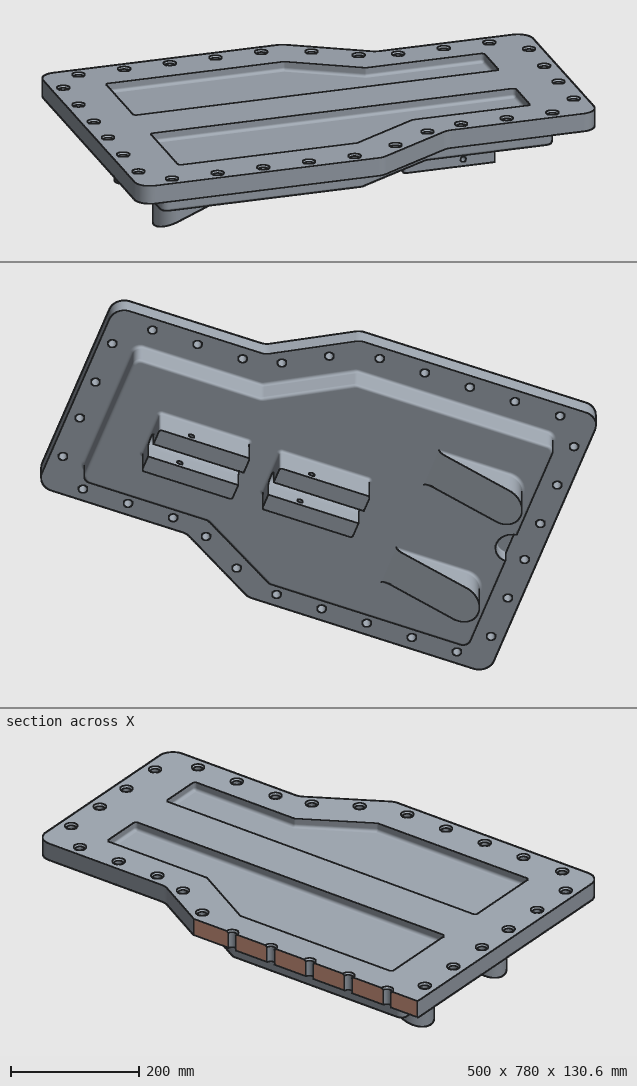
import cadquery as cq
import math

LENGTH = 780.0
WIDE_HALF = 250.0
NARROW_HALF = 175.0
WIDE_SIDE_LENGTH = 400.0
FLANK_ANGLE = 60.0
PLATE_THICKNESS = 30.0
PLATE_RADIUS = 25.0

BODY_INSET = 55.0
BODY_HEIGHT = 40.0
BODY_RADIUS = 12.5
BLEND_RADIUS = 5.0

HOLE_INSET = 20.0
HOLE_PITCH = 75.0
HOLE_DIAMETER = 14.0
COUNTERSINK_DIAMETER = 20.0
COUNTERSINK_TAPER = 45.0
END_ROW_FIRST_X = 35.0
NARROW_END_HOLES = 2
WIDE_END_HOLES = 3
NARROW_SIDE_FIRST_Y = 320.0
NARROW_SIDE_HOLES = 3
WIDE_SIDE_FIRST_Y = -330.0
WIDE_SIDE_HOLES = 5
FLANK_FIRST_FROM_CORNER = 23.0
FLANK_HOLES = 2

POCKET_INNER_X = 40.0
POCKET_NARROW_X = 115.0
POCKET_WIDE_X = 180.0
POCKET_MIN_Y = -302.5
POCKET_MAX_Y = 297.5
POCKET_KINK_Y = -9.0
POCKET_DEPTH = 15.0
POCKET_RADIUS = 5.0

BLOCK_WIDTH = 80.0
BLOCK_LENGTH = 150.0
BLOCK_HEIGHT = 50.0
BLOCK_CENTRES_Y = (-10.0, 190.0)
BLOCK_EDGE_RADIUS = 4.0
SLOT_WIDTH = 24.0
SLOT_AXIS_ABOVE_TIP = 26.0
CROSS_HOLE_DIAMETER = 9.0
CROSS_HOLE_OFFSET_Y = 22.0
CROSS_HOLE_ABOVE_TIP = 11.5

TOTAL_HEIGHT = 130.6
FOOT_X = 95.0
FOOT_RADIUS = 30.0
FOOT_TIP_Y = -315.0
FOOT_HEEL_Y = -166.0

NOTCH_RADIUS = 25.0
NOTCH_HEIGHT = 25.0
NOTCH_CEILING_RADIUS = 2.0

PLATE_BOTTOM = -PLATE_THICKNESS
BODY_BOTTOM = PLATE_BOTTOM - BODY_HEIGHT
BLOCK_BOTTOM = BODY_BOTTOM - BLOCK_HEIGHT
FLANK_SLOPE = math.tan(math.radians(FLANK_ANGLE))
WIDE_CORNER_Y = -LENGTH / 2 + WIDE_SIDE_LENGTH
NARROW_CORNER_Y = WIDE_CORNER_Y + (WIDE_HALF - NARROW_HALF) * FLANK_SLOPE
CORNER_SHIFT = math.tan(math.radians((90.0 - FLANK_ANGLE) / 2))


def outline_prism(inset, top, height, corner_radius):
    """Prism of the plate outline offset inward, with rounded corners."""
    half_length = LENGTH / 2 - inset
    wide = WIDE_HALF - inset
    narrow = NARROW_HALF - inset
    shift = inset * CORNER_SHIFT
    right_side = [
        (wide, -half_length),
        (wide, WIDE_CORNER_Y - shift),
        (narrow, NARROW_CORNER_Y - shift),
        (narrow, half_length),
    ]
    left_side = [(-x, y) for x, y in reversed(right_side)]
    prism = cq.Workplane("XY").workplane(offset=top - height).polyline(right_side + left_side)
    return prism.close().extrude(height).edges("|Z").fillet(corner_radius)


def wedge_foot(x):
    """Round-ended foot whose underside rises from its tip at -Y to the body."""
    depth = TOTAL_HEIGHT + BODY_BOTTOM
    centre_y = FOOT_TIP_Y + FOOT_RADIUS
    run = FOOT_HEEL_Y - centre_y
    footing = cq.Workplane("XY").workplane(offset=-TOTAL_HEIGHT)
    column = footing.center(x, centre_y).circle(FOOT_RADIUS).extrude(depth)
    bar = footing.center(x, centre_y + run / 2).rect(2 * FOOT_RADIUS, run).extrude(depth)
    side = [(FOOT_TIP_Y, BODY_BOTTOM), (FOOT_TIP_Y, -TOTAL_HEIGHT), (FOOT_HEEL_Y, BODY_BOTTOM)]
    wedge = cq.Workplane("YZ").workplane(offset=x).polyline(side).close()
    return column.union(bar).intersect(wedge.extrude(FOOT_RADIUS, both=True))


def block(y):
    """Rectangular block with rounded upright edges."""
    blank = cq.Workplane("XY").workplane(offset=BLOCK_BOTTOM).center(0, y)
    return blank.rect(BLOCK_WIDTH, BLOCK_LENGTH).extrude(BLOCK_HEIGHT).edges("|Z").fillet(BLOCK_EDGE_RADIUS)


def block_cuts(y):
    """Round-topped slot along Y and a cross hole along X through one block."""
    slot_axis_z = BLOCK_BOTTOM + SLOT_AXIS_ABOVE_TIP
    half_slot = SLOT_WIDTH / 2
    profile = cq.Workplane("XZ").workplane(offset=-y).moveTo(-half_slot, BLOCK_BOTTOM)
    profile = profile.lineTo(-half_slot, slot_axis_z)
    profile = profile.threePointArc((0, slot_axis_z + half_slot), (half_slot, slot_axis_z))
    profile = profile.lineTo(half_slot, BLOCK_BOTTOM).close()
    slot = profile.extrude(BLOCK_LENGTH / 2, both=True)
    hole = cq.Workplane("YZ").center(y + CROSS_HOLE_OFFSET_Y, BLOCK_BOTTOM + CROSS_HOLE_ABOVE_TIP)
    return slot.union(hole.circle(CROSS_HOLE_DIAMETER / 2).extrude(BLOCK_WIDTH, both=True))


def notch():
    """Upright half-round recess in the -Y wall of the body, with a rounded ceiling edge."""
    start = cq.Workplane("XY").workplane(offset=BODY_BOTTOM).center(0, BODY_INSET - LENGTH / 2)
    recess = start.circle(NOTCH_RADIUS).extrude(NOTCH_HEIGHT)
    return recess.faces(">Z").edges().fillet(NOTCH_CEILING_RADIUS)


def pocket():
    """Pocket on the +X side with rounded corners and floor edge."""
    kink_top = POCKET_KINK_Y + (POCKET_WIDE_X - POCKET_NARROW_X) * FLANK_SLOPE
    points = [
        (POCKET_INNER_X, POCKET_MIN_Y),
        (POCKET_WIDE_X, POCKET_MIN_Y),
        (POCKET_WIDE_X, POCKET_KINK_Y),
        (POCKET_NARROW_X, kink_top),
        (POCKET_NARROW_X, POCKET_MAX_Y),
        (POCKET_INNER_X, POCKET_MAX_Y),
    ]
    solid = cq.Workplane("XY").polyline(points).close().extrude(-POCKET_DEPTH)
    rounded = solid.edges("|Z").fillet(POCKET_RADIUS)
    return rounded.faces("<Z").edges().fillet(POCKET_RADIUS)


def rim_hole_points():
    """Hole centres along the rim on the +X half."""
    end_y = LENGTH / 2 - HOLE_INSET
    points = [(END_ROW_FIRST_X + i * HOLE_PITCH, end_y) for i in range(NARROW_END_HOLES)]
    points += [(END_ROW_FIRST_X + i * HOLE_PITCH, -end_y) for i in range(WIDE_END_HOLES)]
    narrow_x = NARROW_HALF - HOLE_INSET
    points += [(narrow_x, NARROW_SIDE_FIRST_Y - i * HOLE_PITCH) for i in range(NARROW_SIDE_HOLES)]
    wide_x = WIDE_HALF - HOLE_INSET
    points += [(wide_x, WIDE_SIDE_FIRST_Y + i * HOLE_PITCH) for i in range(WIDE_SIDE_HOLES)]
    along_x = math.cos(math.radians(FLANK_ANGLE))
    along_y = math.sin(math.radians(FLANK_ANGLE))
    start_x = NARROW_HALF - HOLE_INSET * along_y
    start_y = NARROW_CORNER_Y - HOLE_INSET * along_x
    for i in range(FLANK_HOLES):
        distance = FLANK_FIRST_FROM_CORNER + i * HOLE_PITCH
        points.append((start_x + distance * along_x, start_y - distance * along_y))
    return points


def rim_holes():
    """Countersunk through holes on the +X half of the rim."""
    points = rim_hole_points()
    bores = cq.Workplane("XY").pushPoints(points).circle(HOLE_DIAMETER / 2).extrude(-PLATE_THICKNESS)
    sink_depth = (COUNTERSINK_DIAMETER - HOLE_DIAMETER) / 2
    sinks = cq.Workplane("XY").pushPoints(points).circle(COUNTERSINK_DIAMETER / 2)
    return bores.union(sinks.extrude(-sink_depth, taper=COUNTERSINK_TAPER))


def blend_footprints(part, level):
    """Fillet the outlines of everything standing on the flat face at one level."""
    flats = part.faces("|Z").filter(lambda face: math.isclose(face.Center().z, level))
    edges = [edge for face in flats.vals() for wire in face.innerWires() for edge in wire.Edges()]
    return part.newObject(edges).fillet(BLEND_RADIUS)


body = outline_prism(BODY_INSET, PLATE_BOTTOM, BODY_HEIGHT, BODY_RADIUS)
body = body.faces("<Z").edges().fillet(BLEND_RADIUS)
part = outline_prism(0.0, 0.0, PLATE_THICKNESS, PLATE_RADIUS).union(body)
part = blend_footprints(part, PLATE_BOTTOM)

for centre_y in BLOCK_CENTRES_Y:
    part = part.union(block(centre_y))
for foot_x in (-FOOT_X, FOOT_X):
    part = part.union(wedge_foot(foot_x))
part = blend_footprints(part, BODY_BOTTOM)

for centre_y in BLOCK_CENTRES_Y:
    part = part.cut(block_cuts(centre_y))
part = part.cut(notch())

for tool in (pocket(), rim_holes()):
    part = part.cut(tool).cut(tool.mirror("YZ"))

result = part